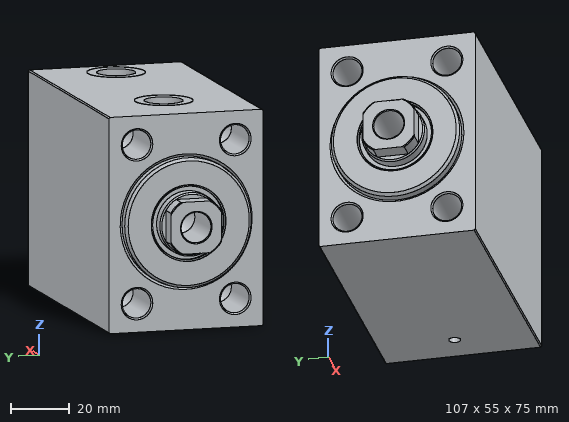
import cadquery as cq
import math


OVERALL_LENGTH = 107
BLOCK_LENGTH = 95.0
BLOCK_WIDTH = 55.0
BLOCK_HEIGHT = 75.0
EDGE_CHAMFER = 0.4

DRILL_TIP_ANGLE = 118
SCREW_HOLE_DIAMETER = 10.2
SCREW_HOLE_DEPTH = 21.4
SCREW_HOLE_CHAMFER = 0.5
SCREW_SPACING_Y = 35.0
SCREW_SPACING_Z = 55.0

FRONT_PORT_X = 26.4
REAR_PORT_X = 82.4
PORT_DIAMETER = 13.3
PORT_DEPTH = 12.8
SPOTFACE_DIAMETER = 20.0
SPOTFACE_DEPTH = 0.1
OIL_HOLE_DIAMETER = 4.0

GLAND_DIAMETER = 45.0
GLAND_PROJECTION = 3.1
GLAND_LENGTH_INSIDE = 16
GLAND_CHAMFER = 1.0
WIPER_RECESS_DIAMETER = 25.5
WIPER_RECESS_DEPTH = 1.5
WIPER_STEP_DIAMETER = 26.5
WIPER_STEP_DEPTH = 0.4

ROD_DIAMETER = 22.0
ROD_PROJECTION = 6.0
ROD_LENGTH_INSIDE = 42.8
ROD_CHAMFER = 0.5
NOSE_DIAMETER = 21.0
NOSE_FLATS = 18.0
NOSE_LENGTH = OVERALL_LENGTH - BLOCK_LENGTH - ROD_PROJECTION
NOSE_CHAMFER = 0.3
ROD_HOLE_DIAMETER = 10.6
ROD_HOLE_DEPTH = 19.3
ROD_HOLE_CHAMFER = 0.3


def disc(diameter, x_start, x_end):
    """Cylinder along the X axis."""
    return cq.Workplane("YZ", origin=(x_start, 0, 0)).circle(diameter / 2).extrude(x_end - x_start)


def cone(front_diameter, x_start, rear_diameter, x_end):
    """Cone frustum about the X axis; a zero rear diameter gives a full cone."""
    axis_direction = cq.Vector(1, 0, 0)
    solid = cq.Solid.makeCone(
        front_diameter / 2, rear_diameter / 2, x_end - x_start, cq.Vector(x_start, 0, 0), axis_direction
    )
    return cq.Workplane(solid)


def mouth_chamfer(diameter, size, x_mouth):
    """Cutter that bevels the mouth of a hole running in the +X direction."""
    return cone(diameter + 2 * size, x_mouth, diameter, x_mouth + size)


def tapping_hole(x_mouth, diameter, depth, chamfer):
    """Cutter for a bevelled blind hole with a drill tip, on the X axis."""
    x_floor = x_mouth + depth
    tip_length = diameter / 2 / math.tan(math.radians(DRILL_TIP_ANGLE / 2))
    bore = disc(diameter, x_mouth, x_floor)
    tip = cone(diameter, x_floor, 0, x_floor + tip_length)
    return bore.union(tip).union(mouth_chamfer(diameter, chamfer, x_mouth))


def port_cutter(x, oil_hole_end_z):
    """Spotfaced oil port with a narrow hole running down to the given height."""
    top = cq.Workplane("XY", origin=(x, 0, BLOCK_HEIGHT / 2))
    spotface = top.circle(SPOTFACE_DIAMETER / 2).extrude(-SPOTFACE_DEPTH)
    port = top.circle(PORT_DIAMETER / 2).extrude(-PORT_DEPTH)
    oil_hole = top.circle(OIL_HOLE_DIAMETER / 2).extrude(oil_hole_end_z - BLOCK_HEIGHT / 2)
    return spotface.union(port).union(oil_hole)


def make_block():
    block = cq.Workplane("XY").box(BLOCK_LENGTH, BLOCK_WIDTH, BLOCK_HEIGHT).translate((BLOCK_LENGTH / 2, 0, 0))
    block = block.edges("|X").chamfer(EDGE_CHAMFER)

    block = block.cut(disc(GLAND_DIAMETER, 0, GLAND_LENGTH_INSIDE))
    block = block.cut(mouth_chamfer(GLAND_DIAMETER, GLAND_CHAMFER, 0))
    block = block.cut(disc(ROD_DIAMETER, 0, ROD_LENGTH_INSIDE))

    screw_hole = tapping_hole(0, SCREW_HOLE_DIAMETER, SCREW_HOLE_DEPTH, SCREW_HOLE_CHAMFER)
    for y in (-SCREW_SPACING_Y / 2, SCREW_SPACING_Y / 2):
        for z in (-SCREW_SPACING_Z / 2, SCREW_SPACING_Z / 2):
            block = block.cut(screw_hole.translate((0, y, z)))

    block = block.cut(port_cutter(FRONT_PORT_X, 0))
    block = block.cut(port_cutter(REAR_PORT_X, -BLOCK_HEIGHT / 2))
    return block


def make_gland():
    x_front = -GLAND_PROJECTION
    gland = disc(GLAND_DIAMETER, x_front, GLAND_LENGTH_INSIDE).faces("<X").chamfer(GLAND_CHAMFER)
    gland = gland.cut(disc(ROD_DIAMETER, x_front, GLAND_LENGTH_INSIDE))

    gland = gland.cut(disc(WIPER_RECESS_DIAMETER, x_front, x_front + WIPER_RECESS_DEPTH))
    return gland.cut(disc(WIPER_STEP_DIAMETER, x_front, x_front + WIPER_STEP_DEPTH))


def make_rod():
    x_shoulder = -ROD_PROJECTION
    x_tip = x_shoulder - NOSE_LENGTH
    shank = disc(ROD_DIAMETER, x_shoulder, ROD_LENGTH_INSIDE).faces("<X").chamfer(ROD_CHAMFER)
    square = cq.Workplane("YZ", origin=(x_tip, 0, 0)).rect(NOSE_FLATS, NOSE_FLATS).extrude(NOSE_LENGTH)
    nose = disc(NOSE_DIAMETER, x_tip, x_shoulder).faces("<X").chamfer(NOSE_CHAMFER).intersect(square)
    rod_hole = tapping_hole(x_tip, ROD_HOLE_DIAMETER, ROD_HOLE_DEPTH, ROD_HOLE_CHAMFER)
    return shank.union(nose).cut(rod_hole)


block = make_block()
gland = make_gland()
rod = make_rod()

result = cq.Compound.makeCompound([block.val(), gland.val(), rod.val()])